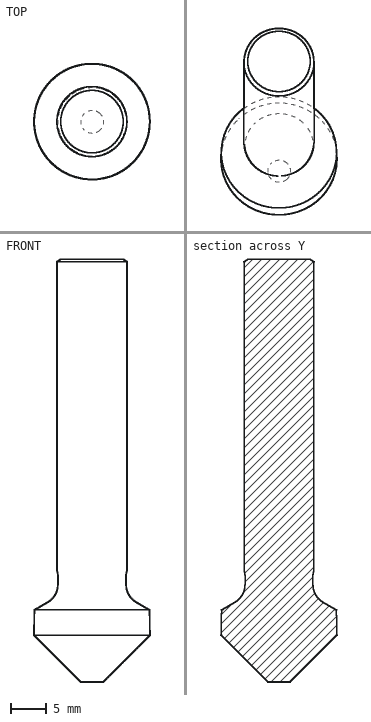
import cadquery as cq
import math

LENGTH = 60.0
HEAD_RADIUS = 16.5 / 2
TIP_RADIUS = 1.6
NECK_RADIUS = 4.85
SHANK_RADIUS = 5.0

CONE_HEIGHT = HEAD_RADIUS - TIP_RADIUS
BAND_HEIGHT = 3.6
BAND_TAPER = 0.05
SHOULDER_SLOPE = math.radians(30)
SHOULDER_TOP_RADIUS = 6.3

NECK_LENGTH = 1.3
FLARE_ARC_RADIUS = 1.3
FLARE_ANGLE = math.radians(15)

CHAMFER_WIDTH = 0.55
CHAMFER_HEIGHT = 0.35

band_top = CONE_HEIGHT + BAND_HEIGHT
band_top_radius = HEAD_RADIUS - BAND_TAPER
shoulder_top = band_top + (band_top_radius - SHOULDER_TOP_RADIUS) * math.tan(SHOULDER_SLOPE)

fillet_sweep = math.pi / 2 - SHOULDER_SLOPE
fillet_radius = (SHOULDER_TOP_RADIUS - NECK_RADIUS) / (1 - math.cos(fillet_sweep))
neck_bottom = shoulder_top + fillet_radius * math.sin(fillet_sweep)
neck_top = neck_bottom + NECK_LENGTH


def neck_arc_point(arc_radius, angle, tangent_height, direction):
    """Point on a concave arc after turning by angle from the neck; direction +1 is up."""
    radius = NECK_RADIUS + arc_radius * (1 - math.cos(angle))
    height = tangent_height + direction * arc_radius * math.sin(angle)
    return radius, height


fillet_middle = neck_arc_point(fillet_radius, fillet_sweep / 2, neck_bottom, -1)
flare_middle = neck_arc_point(FLARE_ARC_RADIUS, FLARE_ANGLE / 2, neck_top, 1)
flare_end = neck_arc_point(FLARE_ARC_RADIUS, FLARE_ANGLE, neck_top, 1)
shank_bottom = flare_end[1] + (SHANK_RADIUS - flare_end[0]) / math.tan(FLARE_ANGLE)

profile = (
    cq.Workplane("XZ")
    .lineTo(TIP_RADIUS, 0)
    .lineTo(HEAD_RADIUS, CONE_HEIGHT)
    .lineTo(band_top_radius, band_top)
    .lineTo(SHOULDER_TOP_RADIUS, shoulder_top)
    .threePointArc(fillet_middle, (NECK_RADIUS, neck_bottom))
    .lineTo(NECK_RADIUS, neck_top)
    .threePointArc(flare_middle, flare_end)
    .lineTo(SHANK_RADIUS, shank_bottom)
    .lineTo(SHANK_RADIUS, LENGTH - CHAMFER_HEIGHT)
    .lineTo(SHANK_RADIUS - CHAMFER_WIDTH, LENGTH)
    .lineTo(0, LENGTH)
    .close()
)

result = profile.revolve(360, (0, 0, 0), (0, 1, 0))